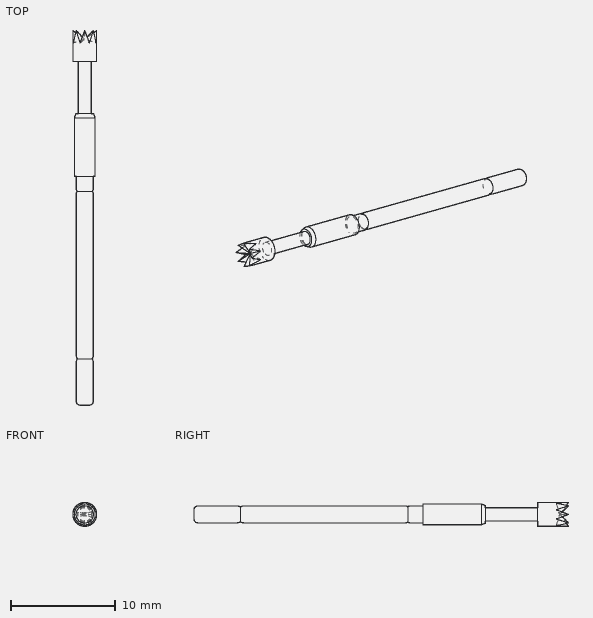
import cadquery as cq
import math

overall_length = 36.0
tip_y = overall_length / 2

head_radius = 1.15
head_length = 3.0
tooth_count = 8
valley_depth = 1.2
center_depth = 0.83
cutter_reach = 2.0

shaft_radius = 0.65
shaft_end = 8.0

collar_radius = 1.0
collar_end = 14.0
collar_chamfer_length = 0.4
collar_chamfer_height = 0.15

barrel_radius = 0.83
front_groove_station = 15.45
front_groove_width = 0.45
rear_groove_station = 31.55
rear_groove_width = 0.65
groove_depth = 0.1
tail_fillet = 0.4


def cylinder(radius, start, end):
    """Cylinder on the Y axis between two stations."""
    return (
        cq.Workplane("XZ", origin=(0, tip_y - start, 0))
        .circle(radius)
        .extrude(end - start)
    )


def groove_ring(station, width):
    """Ring cutting a rolled groove: two arcs leave the barrel tangentially and meet in a sharp bottom."""
    center_y = tip_y - station
    half_width = width / 2
    arc_radius = (half_width**2 + groove_depth**2) / (2 * groove_depth)
    half_angle = math.asin(half_width / arc_radius) / 2
    mid_radius = barrel_radius - arc_radius * (1 - math.cos(half_angle))
    mid_offset = half_width - arc_radius * math.sin(half_angle)
    outer_radius = barrel_radius + groove_depth
    bottom = (barrel_radius - groove_depth, center_y)
    return (
        cq.Workplane("XY")
        .moveTo(*bottom)
        .threePointArc((mid_radius, center_y + mid_offset), (barrel_radius, center_y + half_width))
        .lineTo(outer_radius, center_y + half_width)
        .lineTo(outer_radius, center_y - half_width)
        .lineTo(barrel_radius, center_y - half_width)
        .threePointArc((mid_radius, center_y - mid_offset), bottom)
        .close()
        .revolve(360, (0, 0, 0), (0, 1, 0))
    )


def triangle(a, b, c):
    return cq.Face.makeFromWires(cq.Wire.makePolygon([a, b, c], close=True))


def crown_cutter():
    """Star-shaped solid whose underside has ridges and valleys running out from one point on the axis."""
    bottom = cq.Vector(0, tip_y - center_depth, 0)
    top = cq.Vector(0, tip_y + head_length, 0)
    rim = []
    for i in range(2 * tooth_count):
        angle = math.pi * i / tooth_count
        rim_depth = valley_depth if i % 2 else 0
        rim_point = cq.Vector(
            head_radius * math.cos(angle), tip_y - rim_depth, head_radius * math.sin(angle)
        )
        rim.append(bottom + (rim_point - bottom) * cutter_reach)
    faces = []
    for i, point in enumerate(rim):
        previous = rim[i - 1]
        faces.append(triangle(bottom, previous, point))
        faces.append(triangle(top, point, previous))
    return cq.Workplane(cq.Solid.makeSolid(cq.Shell.makeShell(faces)))


head = cylinder(head_radius, 0, head_length).cut(crown_cutter())

shaft = cylinder(shaft_radius, head_length, shaft_end)

collar = (
    cylinder(collar_radius, shaft_end, collar_end)
    .faces(">Y")
    .chamfer(collar_chamfer_length, collar_chamfer_height)
)

barrel = (
    cylinder(barrel_radius, collar_end, overall_length)
    .faces("<Y")
    .edges()
    .fillet(tail_fillet)
    .cut(groove_ring(front_groove_station, front_groove_width))
    .cut(groove_ring(rear_groove_station, rear_groove_width))
)

result = head.union(shaft).union(collar).union(barrel)